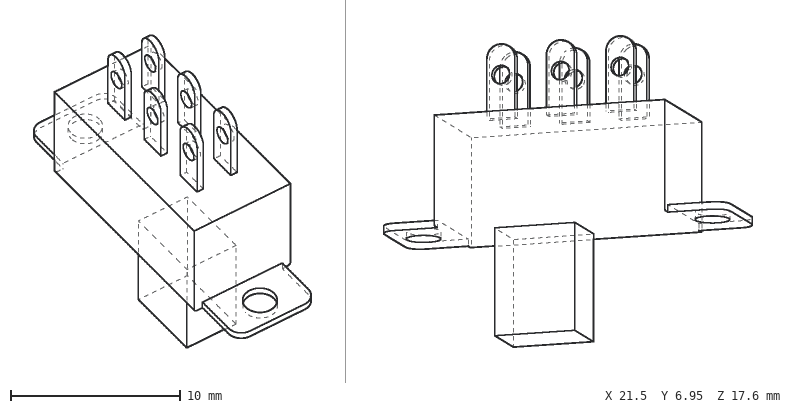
import cadquery as cq

housing_length = 14.34
housing_width = 6.95
housing_height = 6.67
housing_edge_radius = 0.2

flange_length = 21.53
flange_width = 5.75
flange_thickness = 0.45
flange_corner_radius = 0.9
mount_hole_diameter = 2.05
mount_hole_spacing = 17.95

knob_length = 5.0
knob_width = 3.53
knob_height = 6.5
knob_offset = 1.49

terminal_width = 1.75
terminal_thickness = 0.45
terminal_height = 4.45
terminal_pitch = 3.7
terminal_row_spacing = 2.43
terminals_per_row = 3
terminal_rows = 2
terminal_hole_diameter = 1.1
terminal_hole_drop = 1.85

ON_BASE = (True, True, False)


def make_housing():
    box = cq.Workplane("XY").box(housing_length, housing_width, housing_height, centered=ON_BASE)
    return box.faces("<Z").edges("|X").fillet(housing_edge_radius)


def make_flange():
    plate = cq.Workplane("XY").box(flange_length, flange_width, flange_thickness, centered=ON_BASE)
    plate = plate.edges("|Z").fillet(flange_corner_radius)
    holes = (
        cq.Workplane("XY")
        .rarray(mount_hole_spacing, 0.22, 2, 1)
        .circle(mount_hole_diameter / 2)
        .extrude(flange_thickness)
    )
    return plate.cut(holes)


def make_knob():
    return (
        cq.Workplane("XY")
        .center(knob_offset, 0)
        .rect(knob_length, knob_width)
        .extrude(-knob_height)
    )


def make_terminal():
    """One terminal standing on Z = 0, with a fully rounded tip and a wire hole."""
    tip_radius = terminal_width / 2
    shoulder_height = terminal_height - tip_radius
    blade = (
        cq.Workplane("XZ")
        .moveTo(-tip_radius, 0)
        .lineTo(tip_radius, 0)
        .lineTo(tip_radius, shoulder_height)
        .threePointArc((0, terminal_height), (-tip_radius, shoulder_height))
        .close()
        .extrude(terminal_thickness / 2, both=True)
    )
    hole = (
        cq.Workplane("XZ")
        .center(0, terminal_height - terminal_hole_drop)
        .circle(terminal_hole_diameter / 2)
        .extrude(terminal_thickness, both=True)
    )
    return blade.cut(hole)


result = make_housing().union(make_flange()).union(make_knob())

terminal = make_terminal()
for column in range(terminals_per_row):
    x = (column - (terminals_per_row - 1) / 2) * terminal_pitch
    for row in range(terminal_rows):
        y = (row - (terminal_rows - 1) / 2) * terminal_row_spacing
        result = result.union(terminal.translate((x, y, housing_height)))